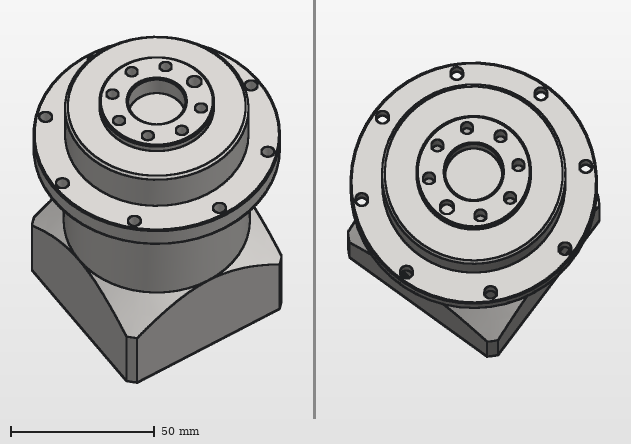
import cadquery as cq
import math

HOUSING_SIDE = 65.0
CORNER_DIAMETER = 88.2
SHOULDER_TOP_Z = 36.4

BODY_DIAMETER = HOUSING_SIDE
FLANGE_DIAMETER = 86.0
FLANGE_BOTTOM_Z = 76.1
FLANGE_TOP_Z = 84.0
FLANGE_CHAMFER = 0.4
PILOT_DIAMETER = 64.0
PILOT_TOP_Z = 99.5
PILOT_CHAMFER = 1.0

HUB_DIAMETER = 40.0
HUB_TOP_Z = 102.5
HUB_CHAMFER = 0.5
BORE_DIAMETER = 20.0
BORE_DEPTH = 8.0
BORE_CHAMFER = 0.5

FLANGE_HOLE_DIAMETER = 4.5
FLANGE_HOLE_CIRCLE = 79.0
FLANGE_HOLE_COUNT = 8

HUB_HOLE_CIRCLE = 31.5
HUB_POSITIONS = 8
DOWEL_ANGLE = 90.0
DOWEL_DIAMETER = 5.0
DOWEL_DEPTH = 7.0
THREAD_HOLE_DIAMETER = 4.2
THREAD_HOLE_DEPTH = 10.0
DRILL_POINT_ANGLE = 118.0

ACCESS_DIAMETER = 8.4
ACCESS_Y = -12.0
ACCESS_Z = 13.3
COLLAR_DIAMETER = 33.0
COLLAR_FLAT_HALF_WIDTH = 15.1
SCREW_HOLE_DIAMETER = 6.0
SCREW_HOLE_DEPTH = 5.0


def disc(diameter, bottom_z, top_z):
    """Cylinder on the Z axis between two heights."""
    return cq.Workplane("XY").workplane(offset=bottom_z).circle(diameter / 2).extrude(top_z - bottom_z)


def make_housing():
    """Square block trimmed by a turned profile, giving cut corners and a conical shoulder."""
    block = cq.Workplane("XY").rect(HOUSING_SIDE, HOUSING_SIDE).extrude(SHOULDER_TOP_Z)
    shoulder_width = (CORNER_DIAMETER - BODY_DIAMETER) / 2
    turned = disc(CORNER_DIAMETER, 0, SHOULDER_TOP_Z).faces(">Z").chamfer(shoulder_width)
    return block.intersect(turned)


def make_round_body():
    """Barrel, flange, pilot and hub stacked on the Z axis."""
    barrel = disc(BODY_DIAMETER, SHOULDER_TOP_Z, FLANGE_BOTTOM_Z)
    flange = disc(FLANGE_DIAMETER, FLANGE_BOTTOM_Z, FLANGE_TOP_Z).edges().chamfer(FLANGE_CHAMFER)
    pilot = disc(PILOT_DIAMETER, FLANGE_TOP_Z, PILOT_TOP_Z).faces(">Z").chamfer(PILOT_CHAMFER)
    hub = disc(HUB_DIAMETER, PILOT_TOP_Z, HUB_TOP_Z).faces(">Z").chamfer(HUB_CHAMFER)
    return barrel.union(flange).union(pilot).union(hub)


def turned_profile(points):
    """Solid of revolution about Z from (radius, height) points."""
    return cq.Workplane("XZ").polyline(points).close().revolve(360, (0, 0, 0), (0, 1, 0))


def make_bore():
    """Blind centring bore with a chamfered mouth."""
    radius = BORE_DIAMETER / 2
    floor_z = HUB_TOP_Z - BORE_DEPTH
    return turned_profile(
        [
            (0, floor_z),
            (radius, floor_z),
            (radius, HUB_TOP_Z - BORE_CHAMFER),
            (radius + BORE_CHAMFER, HUB_TOP_Z),
            (0, HUB_TOP_Z),
        ]
    )


def make_flange_holes():
    """Ring of plain holes through the flange only."""
    return (
        cq.Workplane("XY")
        .workplane(offset=FLANGE_BOTTOM_Z)
        .polarArray(FLANGE_HOLE_CIRCLE / 2, 0, 360, FLANGE_HOLE_COUNT)
        .circle(FLANGE_HOLE_DIAMETER / 2)
        .extrude(FLANGE_TOP_Z - FLANGE_BOTTOM_Z)
    )


def make_thread_hole():
    """Blind hole on the Z axis at the hub face, ending in a drill point."""
    radius = THREAD_HOLE_DIAMETER / 2
    floor_z = HUB_TOP_Z - THREAD_HOLE_DEPTH
    tip_z = floor_z - radius / math.tan(math.radians(DRILL_POINT_ANGLE / 2))
    return turned_profile([(0, tip_z), (radius, floor_z), (radius, HUB_TOP_Z), (0, HUB_TOP_Z)])


def cut_hub_holes(body):
    """One dowel hole and seven drilled holes, equally spaced on the hub."""
    for index in range(HUB_POSITIONS):
        angle = index * 360 / HUB_POSITIONS
        if angle == DOWEL_ANGLE:
            hole = disc(DOWEL_DIAMETER, HUB_TOP_Z - DOWEL_DEPTH, HUB_TOP_Z)
        else:
            hole = make_thread_hole()
        hole = hole.translate((HUB_HOLE_CIRCLE / 2, 0, 0))
        body = body.cut(hole.rotate((0, 0, 0), (0, 0, 1), angle))
    return body


def side_hole(diameter, start_x, end_x):
    """Cylinder along X on the access hole's axis."""
    return (
        cq.Workplane("YZ")
        .workplane(offset=start_x)
        .center(ACCESS_Y, ACCESS_Z)
        .circle(diameter / 2)
        .extrude(end_x - start_x)
    )


def make_access_hole():
    """Side hole that stops on the collar's flat and wraps round its side, plus the screw hole."""
    flat_x = -math.sqrt((COLLAR_DIAMETER / 2) ** 2 - COLLAR_FLAT_HALF_WIDTH**2)
    collar = disc(COLLAR_DIAMETER, 0, SHOULDER_TOP_Z)
    beyond_flat = (
        cq.Workplane("XY")
        .rect(COLLAR_DIAMETER, COLLAR_DIAMETER)
        .extrude(SHOULDER_TOP_Z)
        .translate((flat_x - COLLAR_DIAMETER / 2, 0, 0))
    )
    access = side_hole(ACCESS_DIAMETER, -HOUSING_SIDE / 2, 0).cut(collar.cut(beyond_flat))
    screw_hole = side_hole(SCREW_HOLE_DIAMETER, flat_x, flat_x + SCREW_HOLE_DEPTH)
    return access.union(screw_hole)


result = make_housing().union(make_round_body())
result = result.cut(make_bore()).cut(make_flange_holes())
result = cut_hub_holes(result)
result = result.cut(make_access_hole())